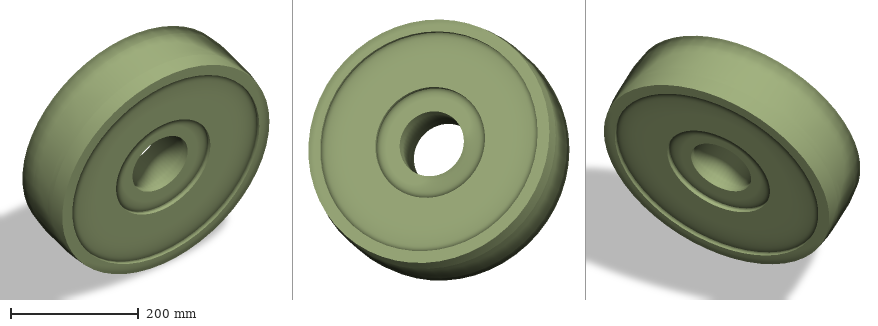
import cadquery as cq

width = 110.0
outer_diameter = 400.0
end_diameter = 393.5
crown_width = 40.0
shoulder_spacing = 60.0
shoulder_drop = 0.1
bore_diameter = 105.0
web_diameter = 355.0
web_depth = 7.0
hub_diameter = 179.0
hub_depth = 9.0

half_width = width / 2
half_crown = crown_width / 2
half_shoulder = shoulder_spacing / 2
end_radius = end_diameter / 2
outer_radius = outer_diameter / 2
shoulder_radius = outer_radius - shoulder_drop


def recess(diameter, floor_x):
    """Matching cutters from both side faces down to x = -floor_x and +floor_x."""
    disc = cq.Workplane("YZ").workplane(offset=floor_x).circle(diameter / 2).extrude(half_width - floor_x)
    return disc.union(disc.mirror("YZ"))


tread = (
    cq.Workplane("XY")
    .moveTo(-half_width, 0)
    .lineTo(-half_width, end_radius)
    .lineTo(-half_shoulder, shoulder_radius)
    .lineTo(-half_crown, outer_radius)
    .lineTo(half_crown, outer_radius)
    .lineTo(half_shoulder, shoulder_radius)
    .lineTo(half_width, end_radius)
    .lineTo(half_width, 0)
    .close()
    .revolve(360, (0, 0, 0), (1, 0, 0))
)

web_face_x = half_width - web_depth
hub_face_x = web_face_x - hub_depth
wheel = tread.cut(recess(web_diameter, web_face_x)).cut(recess(hub_diameter, hub_face_x))

bore = cq.Workplane("YZ").circle(bore_diameter / 2).extrude(half_width, both=True)
result = wheel.cut(bore)